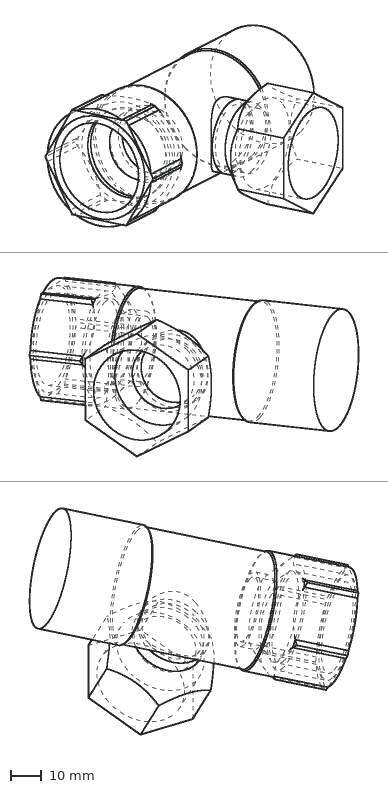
import cadquery as cq

barrel_length = 99.0
end_radius = 40.0 / 2
middle_radius = 39.0 / 2
end_length = 27.9
step_bevel = end_radius - middle_radius

hex_corner_radius = 20.8
neck_radius = 24.75 / 2
neck_bore_radius = 21.5 / 2
bore_radius = 30.3 / 2
neck_start = 26.0
bore_depth = 18.8
bore_cone_depth = bore_radius - neck_bore_radius
branch_reach = 51.0
nut_length = branch_reach - end_radius
hex_start = neck_start - (hex_corner_radius - neck_radius)

liner_radius = 35.0 / 2
liner_length = 17.0

front_y = -barrel_length / 2
front_plane = cq.Plane(origin=(0, front_y, 0), xDir=(1, 0, 0), normal=(0, 1, 0))
branch_plane = cq.Plane(origin=(branch_reach, 0, 0), xDir=(0, 0, 1), normal=(-1, 0, 0))


def revolved(plane, outline):
    """Turn a (radius, depth) outline about the normal of the plane."""
    body = cq.Workplane("XZ").polyline(outline).close().revolve(360, (0, 0), (0, 1))
    return cq.Workplane(obj=body.val().moved(cq.Location(plane)))


def make_nut_envelope(plane):
    """Solid outside shape of a nut, with hexagon corners along the plane's x direction."""
    hexagon = cq.Workplane(plane).polygon(6, 2 * hex_corner_radius).extrude(nut_length)
    turned = revolved(plane, [
        (0, 0),
        (hex_corner_radius, 0),
        (hex_corner_radius, hex_start),
        (neck_radius, neck_start),
        (neck_radius, nut_length),
        (0, nut_length),
    ])
    return hexagon.intersect(turned)


def make_nut(plane):
    """Nut with a wide bore that tapers to the narrow bore of its neck."""
    bore = revolved(plane, [
        (0, 0),
        (bore_radius, 0),
        (bore_radius, bore_depth),
        (neck_bore_radius, bore_depth + bore_cone_depth),
        (neck_bore_radius, nut_length),
        (0, nut_length),
    ])
    return make_nut_envelope(plane).cut(bore)


def make_housing():
    """Stepped barrel with the branch stub and a recess that fits the front nut."""
    barrel = revolved(front_plane, [
        (0, 0),
        (end_radius, 0),
        (end_radius, end_length),
        (middle_radius, end_length + step_bevel),
        (middle_radius, barrel_length - end_length - step_bevel),
        (end_radius, barrel_length - end_length),
        (end_radius, barrel_length),
        (0, barrel_length),
    ])
    stub = cq.Workplane("YZ").circle(neck_radius).extrude(end_radius)
    return barrel.union(stub).cut(make_nut_envelope(front_plane))


def make_liner_envelope():
    """Solid cylinder filling the recess for the liner."""
    return cq.Workplane(front_plane).circle(liner_radius).extrude(liner_length)


def make_liner():
    """Plain sleeve that continues the wide bore of the front nut."""
    bore = cq.Workplane(front_plane).circle(bore_radius).extrude(liner_length)
    return make_liner_envelope().cut(bore)


housing = make_housing()
front_nut = make_nut(front_plane).cut(make_liner_envelope())
branch_nut = make_nut(branch_plane)
liner = make_liner()

result = cq.Compound.makeCompound([
    housing.val(),
    front_nut.val(),
    branch_nut.val(),
    liner.val(),
])